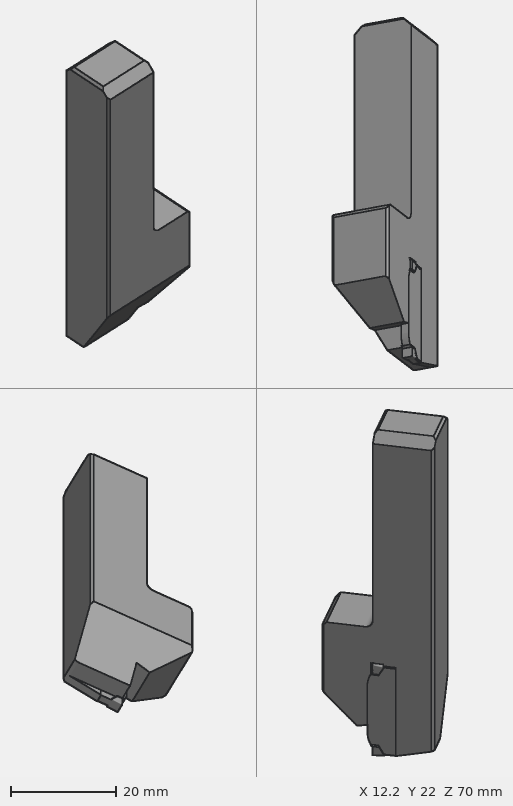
import cadquery as cq
import math

shank_size = 12.0
top_z = 70.0
long_edge_chamfer = 0.5
top_side_chamfer = 2.0
top_face_chamfer = 0.55

foot_back_y = 22.0
foot_top_z = 27.85
foot_fillet = 1.55
foot_top_chamfer = 1.0
foot_corner_z = 12.95
foot_heel_y = 15.0
foot_heel_z = 6.0
foot_root_z = 6.7

nose_z = 2.4
nose_angle = 15.0
flank_floor_z = 2.2
flank_corner_x = 5.05
flank_angle = 30.0

insert_thickness = 1.6
insert_front_y = 7.5
insert_back_y = 13.0
insert_length = 19.9
insert_mid_z = insert_length / 2
insert_end_z = 0.3
insert_end_chamfer = 0.2
back_flat_end_z = 4.55
back_arc_mid = (12.8, 3.35)

tip_overhang = 0.2
tip_edge_y = shank_size
tip_rake_top_z = 1.9
tip_heel_y = 12.4
tip_step_z = 2.3
tip_step_y = 10.85
tip_root_y = 9.65
tip_step_chamfer = 0.175
tip_step_slope_length = 0.3
tip_corner_radius = 0.175

clearance_front_y = 9.95
clearance_top_z = 20.1


def extrude_along_x(profile, start_x, end_x):
    """Extrude a closed YZ profile from start_x to end_x."""
    return profile.extrude(end_x - start_x).translate((start_x, 0, 0))


def extrude_along_y(points):
    """Extrude a polygon of (x, z) points through the whole depth of the holder."""
    return cq.Workplane("XZ").polyline(points).close().extrude(-foot_back_y)


def mirrored_about_insert_middle(body):
    return body.mirror("XY", (0, 0, insert_mid_z))


def make_insert_plate():
    """Plate without its tips: straight front edge, bowed back edge."""
    upper_arc_mid = (back_arc_mid[0], insert_length - back_arc_mid[1])
    profile = (
        cq.Workplane("YZ")
        .moveTo(insert_front_y, insert_end_z)
        .lineTo(tip_root_y, insert_end_z)
        .lineTo(tip_step_y, tip_step_z)
        .lineTo(tip_heel_y, tip_step_z)
        .threePointArc(back_arc_mid, (insert_back_y, back_flat_end_z))
        .lineTo(insert_back_y, insert_length - back_flat_end_z)
        .threePointArc(upper_arc_mid, (tip_heel_y, insert_length - tip_step_z))
        .lineTo(tip_step_y, insert_length - tip_step_z)
        .lineTo(tip_root_y, insert_length - insert_end_z)
        .lineTo(insert_front_y, insert_length - insert_end_z)
        .close()
    )
    return extrude_along_x(profile, 0, insert_thickness)


def make_lower_tip():
    """Cutting tip at the lower end, standing out on both sides of the plate."""
    profile = (
        cq.Workplane("YZ")
        .polyline([
            (tip_edge_y, 0),
            (tip_edge_y, tip_rake_top_z),
            (tip_heel_y, tip_step_z),
            (tip_step_y, tip_step_z),
            (tip_root_y, insert_end_z),
        ])
        .close()
    )
    return extrude_along_x(profile, -tip_overhang, insert_thickness + tip_overhang)


def make_insert():
    plate = make_insert_plate()
    plate = plate.faces("<Z or >Z").edges("<X").chamfer(insert_end_chamfer)
    tip = make_lower_tip()
    tip = tip.faces("<Z").edges("not |X").fillet(tip_corner_radius)
    tip = tip.faces("<X").edges(">Z").chamfer(tip_step_slope_length, tip_step_chamfer)
    return plate.union(tip).union(mirrored_about_insert_middle(tip))


def make_holder_blank():
    """Full-width shank and foot with their edge chamfers."""
    nose_end_z = nose_z - insert_front_y * math.tan(math.radians(nose_angle))
    profile = (
        cq.Workplane("YZ")
        .polyline([
            (0, nose_z),
            (insert_front_y, nose_end_z),
            (shank_size, nose_end_z),
            (shank_size, foot_root_z),
            (foot_heel_y, foot_heel_z),
            (foot_back_y, foot_corner_z),
            (foot_back_y, foot_top_z),
            (shank_size, foot_top_z),
            (shank_size, top_z),
            (0, top_z),
        ])
        .close()
    )
    blank = extrude_along_x(profile, 0, shank_size)
    foot_corner = cq.NearestToPointSelector((shank_size / 2, shank_size, foot_top_z))
    blank = blank.edges(foot_corner).fillet(foot_fillet)
    blank = blank.faces(">Y").edges(">Z").chamfer(foot_top_chamfer)
    blank = blank.faces("<Y").edges("|Z").chamfer(long_edge_chamfer)
    blank = blank.faces(">Y").edges("|Z").chamfer(long_edge_chamfer)
    blank = blank.faces(">Z").edges("|Y").chamfer(top_side_chamfer)
    return blank.faces(">Z").edges("|X").chamfer(top_face_chamfer)


def make_flank_relief():
    """Material below and beside the blade: a flat floor, then a slope to the right side."""
    slope_top_z = flank_floor_z + (shank_size - flank_corner_x) / math.tan(math.radians(flank_angle))
    return extrude_along_y([
        (insert_thickness, 0),
        (insert_thickness, flank_floor_z),
        (flank_corner_x, flank_floor_z),
        (shank_size, slope_top_z),
        (shank_size, 0),
    ])


def make_insert_pocket():
    """Pocket that fits the insert, with room around the upper tip."""
    clearance_bottom_z = insert_length - tip_step_z
    clearance = cq.Workplane("XY").box(
        insert_thickness + tip_overhang,
        tip_heel_y - clearance_front_y,
        clearance_top_z - clearance_bottom_z,
        centered=False,
    ).translate((0, clearance_front_y, clearance_bottom_z))
    tip = make_lower_tip()
    return make_insert_plate().union(tip).union(mirrored_about_insert_middle(tip)).union(clearance)


def make_holder():
    return make_holder_blank().cut(make_flank_relief()).cut(make_insert_pocket())


holder = make_holder()
insert = make_insert()

result = cq.Compound.makeCompound([*holder.solids().vals(), *insert.solids().vals()])